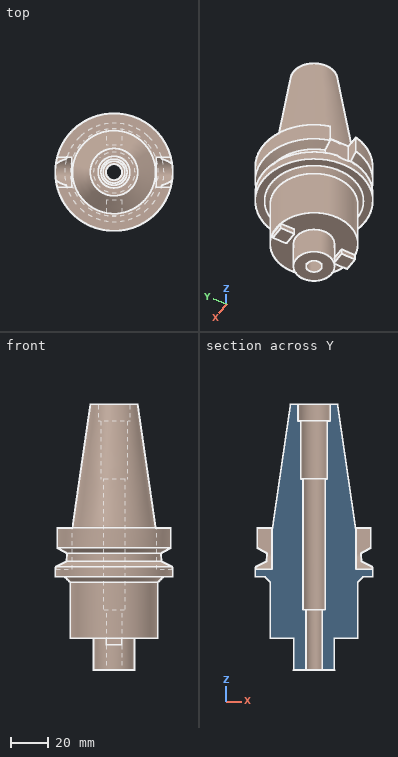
import cadquery as cq
import math


gauge_diameter = 44.45
taper_length = 65.4
taper_ratio = 7 / 24
small_diameter = gauge_diameter - taper_ratio * taper_length

flange_diameter = 63.0
flange_top_z = -0.8
flange_bottom_z = -27.0
groove_diameter = 53.0
groove_center_z = -16.6
groove_floor_width = 4.3
groove_flank_angle = 30.0
groove_depth = (flange_diameter - groove_diameter) / 2
groove_flank_height = groove_depth * math.tan(math.radians(groove_flank_angle))

body_diameter = 47.0
body_bottom_z = -60.0
neck_height = 3.0
neck_diameter = body_diameter + 2 * neck_height

pilot_diameter = 22.0
pilot_length = 17.0
pilot_bottom_z = body_bottom_z - pilot_length

slot_width = 16.1
slot_floor_x = 22.5
slot_bottom_z = -22.9

key_width = 8.4
key_inner_y = 14.7
key_outer_y = 23.1
key_height = 3.4

bore_steps = [
    (17.0, 9.0),
    (14.0, 40.0),
    (11.7, 110.0),
]
through_diameter = 8.5


def make_shank():
    """Revolve the outer profile of taper, flange, body and pilot."""
    gauge_radius = gauge_diameter / 2
    flange_radius = flange_diameter / 2
    groove_radius = groove_diameter / 2
    body_radius = body_diameter / 2
    pilot_radius = pilot_diameter / 2
    groove_floor_top = groove_center_z + groove_floor_width / 2
    groove_floor_bottom = groove_center_z - groove_floor_width / 2
    profile = [
        (0, taper_length),
        (small_diameter / 2, taper_length),
        (gauge_radius, 0),
        (gauge_radius, flange_top_z),
        (flange_radius, flange_top_z),
        (flange_radius, groove_floor_top + groove_flank_height),
        (groove_radius, groove_floor_top),
        (groove_radius, groove_floor_bottom),
        (flange_radius, groove_floor_bottom - groove_flank_height),
        (flange_radius, flange_bottom_z),
        (neck_diameter / 2, flange_bottom_z),
        (body_radius, flange_bottom_z - neck_height),
        (body_radius, body_bottom_z),
        (pilot_radius, body_bottom_z),
        (pilot_radius, pilot_bottom_z),
        (0, pilot_bottom_z),
    ]
    return cq.Workplane("XZ").polyline(profile).close().revolve(360, (0, 0), (0, 1))


def make_drive_slot(side):
    """Round-ended slot cutter on the +X (side = 1) or -X (side = -1) flank."""
    half_width = slot_width / 2
    arc_center_z = slot_bottom_z + half_width
    depth = flange_diameter / 2 - slot_floor_x
    return (
        cq.Workplane("YZ", origin=(side * slot_floor_x, 0, 0))
        .moveTo(-half_width, flange_top_z)
        .lineTo(-half_width, arc_center_z)
        .threePointArc((0, slot_bottom_z), (half_width, arc_center_z))
        .lineTo(half_width, flange_top_z)
        .close()
        .extrude(side * depth)
    )


def make_drive_key(side):
    """Key block hanging below the body on the +Y (side = 1) or -Y (side = -1) side."""
    key_length = key_outer_y - key_inner_y
    key_center_y = side * (key_inner_y + key_outer_y) / 2
    return (
        cq.Workplane("XY", origin=(0, key_center_y, body_bottom_z))
        .rect(key_width, key_length)
        .extrude(-key_height)
    )


def make_bore(diameter, depth):
    """Flat-bottomed cylinder sunk from the small end of the taper."""
    return cq.Workplane("XY", origin=(0, 0, taper_length)).circle(diameter / 2).extrude(-depth)


result = make_shank()

for side in (-1, 1):
    result = result.cut(make_drive_slot(side))
    result = result.union(make_drive_key(side))

for diameter, depth in bore_steps:
    result = result.cut(make_bore(diameter, depth))
result = result.cut(make_bore(through_diameter, taper_length - pilot_bottom_z))